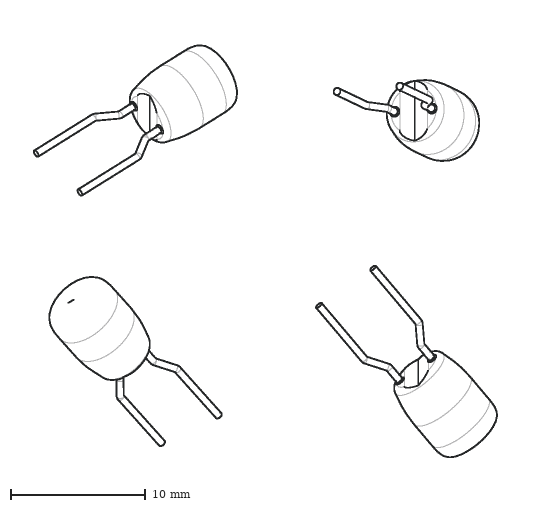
import cadquery as cq
import math

total_length = 15.76
body_diameter = 5.5
body_radius = body_diameter / 2
band_rear = 14.05
band_front = 11.8
body_front = 8.65
shoulder_radius = 2.3
shoulder_height = 15.46
shoulder_tangent = (-1, 0.4)
rim_radius = 2.32
rim_fillet = 0.5
taper_angle = math.radians(15)

relief_half_width = 1.12
relief_depth = 0.25

lead_diameter = 0.55
inner_offset = 1.51
outer_offset = 2.54
first_bend_start = 7.33
bend_radius = 0.28
bend_angle = math.radians(33)
lead_embedding = 0.79

collar_radius = 0.38
collar_height = 0.1
collar_fillet = 0.08


def make_body():
    """Barrel with a domed rear, a straight band and a tapered, rounded front."""
    fillet_center_x = rim_radius - rim_fillet * math.cos(taper_angle)
    fillet_center_y = body_front + rim_fillet
    rim_y = fillet_center_y - rim_fillet * math.sin(taper_angle)
    mid_angle = (taper_angle + math.pi / 2) / 2
    fillet_mid = (
        fillet_center_x + rim_fillet * math.cos(mid_angle),
        fillet_center_y - rim_fillet * math.sin(mid_angle),
    )
    taper_direction = (math.sin(taper_angle), math.cos(taper_angle))
    profile = (
        cq.Workplane("XY")
        .moveTo(0, body_front)
        .lineTo(fillet_center_x, body_front)
        .threePointArc(fillet_mid, (rim_radius, rim_y))
        .spline([(body_radius, band_front)], tangents=[taper_direction, (0, 1)], includeCurrent=True)
        .lineTo(body_radius, band_rear)
        .spline(
            [(shoulder_radius, shoulder_height), (0, total_length)],
            tangents=[(0, 1), shoulder_tangent, (-1, 0)],
            includeCurrent=True,
        )
        .close()
    )
    return profile.revolve(360, (0, 0, 0), (0, 1, 0))


def make_relief():
    """Triangular prism that cuts the V into the front face along Z."""
    return (
        cq.Workplane("XY")
        .moveTo(-relief_half_width, body_front)
        .lineTo(relief_half_width, body_front)
        .lineTo(0, body_front + relief_depth)
        .close()
        .extrude(body_radius, both=True)
    )


def make_lead():
    """Round wire on the +X side, stepped outward by two opposite tight bends."""
    bend_step = bend_radius * (1 - math.cos(bend_angle))
    bend_drop = bend_radius * math.sin(bend_angle)
    slant_step = outer_offset - inner_offset - 2 * bend_step
    slant_drop = slant_step / math.tan(bend_angle)
    slant_start_y = first_bend_start - bend_drop
    slant_end_y = slant_start_y - slant_drop
    start_y = body_front + lead_embedding
    path = (
        cq.Workplane("XY")
        .moveTo(inner_offset, start_y)
        .lineTo(inner_offset, first_bend_start)
        .tangentArcPoint((inner_offset + bend_step, slant_start_y), relative=False)
        .lineTo(outer_offset - bend_step, slant_end_y)
        .tangentArcPoint((outer_offset, slant_end_y - bend_drop), relative=False)
        .lineTo(outer_offset, 0)
    )
    section = cq.Workplane("XZ", origin=(inner_offset, start_y, 0)).circle(lead_diameter / 2)
    return section.sweep(path)


def make_collar():
    """Rounded ring of coating around the +X lead."""
    collar_back = body_front + relief_depth
    return (
        cq.Workplane("XZ", origin=(inner_offset, collar_back, 0))
        .circle(collar_radius)
        .extrude(relief_depth + collar_height)
        .faces("<Y")
        .edges()
        .fillet(collar_fillet)
    )


result = make_body().cut(make_relief())
lead = make_lead().union(make_collar())
for one_lead in (lead, lead.mirror("YZ")):
    result = result.union(one_lead)